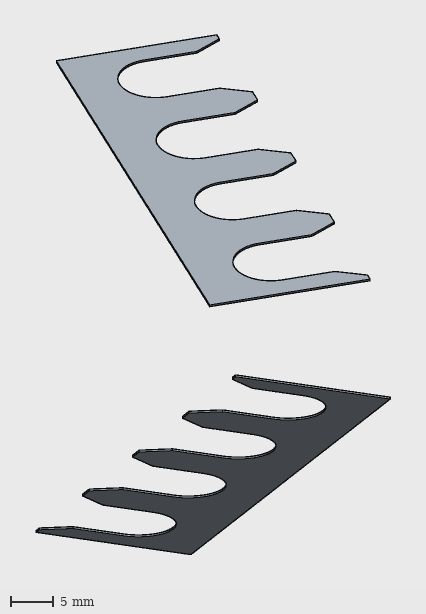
import cadquery as cq
import math

length = 60.0
width = 20.0
thickness = 0.25

slot_count = 4
slot_pitch = length / slot_count
first_slot_x = slot_pitch / 2
slot_width = 9.0
slot_radius = slot_width / 2
slot_floor = 5.5

finger_tip_width = 2.0
flare_angle = 30.0
mouth_width = slot_pitch - finger_tip_width
flare_depth = (mouth_width - slot_width) / 2 / math.tan(math.radians(flare_angle))


def make_plate():
    """Flat plate with one bottom corner at the origin."""
    return cq.Workplane("XY").box(length, width, thickness, centered=False)


def make_slot(center_x):
    """Cutter for one round-bottomed slot that flares out at the +Y edge."""
    left = center_x - slot_radius
    right = center_x + slot_radius
    arc_center_y = slot_floor + slot_radius
    flare_start_y = width - flare_depth
    return (
        cq.Workplane("XY")
        .moveTo(left, arc_center_y)
        .threePointArc((center_x, slot_floor), (right, arc_center_y))
        .lineTo(right, flare_start_y)
        .lineTo(center_x + mouth_width / 2, width)
        .lineTo(center_x - mouth_width / 2, width)
        .lineTo(left, flare_start_y)
        .close()
        .extrude(thickness)
    )


result = make_plate()
for slot_index in range(slot_count):
    result = result.cut(make_slot(first_slot_x + slot_index * slot_pitch))